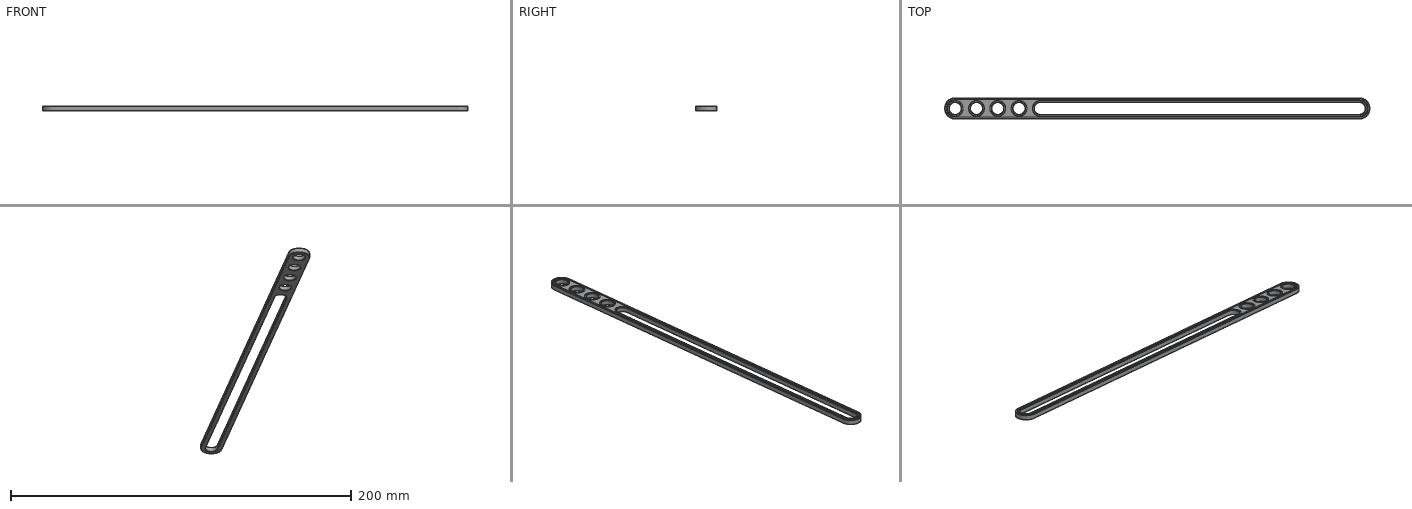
import cadquery as cq

length = 250.0
width = 12.5
hole_diameter = 7.0
rim_diameter = 9.2
hole_count = 4
edge_chamfer = 0.3
recess_depth = 0.2

thickness = width / 4
top_z = thickness / 2
hole_pitch = width
rim_width = (rim_diameter - hole_diameter) / 2
end_center_x = (length - width) / 2
hole_centers = [(i * hole_pitch - end_center_x, 0) for i in range(hole_count)]
slot_start_x = hole_count * hole_pitch - end_center_x


def capsule(start_x, diameter, height):
    """Prism hanging down from the top face, with round ends at start_x and end_center_x."""
    return (
        cq.Workplane("XY", origin=((start_x + end_center_x) / 2, 0, top_z - height))
        .slot2D(end_center_x - start_x + diameter, diameter)
        .extrude(height)
    )


def openings(diameter, height):
    """The row of round holes and the long slot, hanging down from the top face."""
    holes = (
        cq.Workplane("XY", origin=(0, 0, top_z - height))
        .pushPoints(hole_centers)
        .circle(diameter / 2)
        .extrude(height)
    )
    return holes.union(capsule(slot_start_x, diameter, height))


bar = capsule(-end_center_x, width, thickness)
bar = bar.cut(openings(hole_diameter, thickness))
bar = bar.faces("|Z").edges().chamfer(edge_chamfer)

recess = capsule(-end_center_x, width - 2 * rim_width, recess_depth)
recess = recess.cut(openings(rim_diameter, recess_depth))
result = bar.cut(recess)